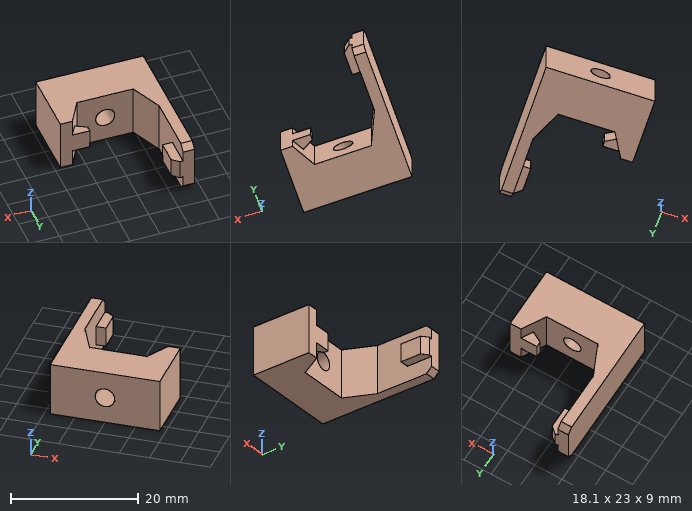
import cadquery as cq

width = 18.1
length = 23.0
height = 9.0

floor_y = 7.0
arm_thickness = 1.95
arm_taper_end_y = 12.3
floor_left_x = 4.35
floor_right_x = 13.8
post_top_y = 11.0
post_top_x = 16.08
arm_tip_chamfer = 1.01

catch_height = 3.31
hook_tip_x = 3.6
hook_length = 4.8
hook_chamfer_x = 1.15
hook_chamfer_y = 0.97
nub_tip_x = 13.1
nub_tip_y = 10.07
nub_foot_x = 14.97
nub_foot_y = 9.02

hole_diameter = 3.2


def make_body():
    """U-shaped profile with both corners of the arm's free end cut off."""
    outline = [
        (0, 0),
        (width, 0),
        (width, post_top_y),
        (post_top_x, post_top_y),
        (floor_right_x, floor_y),
        (floor_left_x, floor_y),
        (arm_thickness, arm_taper_end_y),
        (arm_thickness, length),
        (0, length),
    ]
    body = cq.Workplane("XY").polyline(outline).close().extrude(height)
    return body.faces(">Y").edges("|X").chamfer(arm_tip_chamfer)


def make_catch(outline):
    """Prism of the catch outline, centred on the height of the part."""
    bottom_z = (height - catch_height) / 2
    return cq.Workplane("XY", origin=(0, 0, bottom_z)).polyline(outline).close().extrude(catch_height)


def make_hook():
    """Catch on the inner side of the arm; it starts inside the arm."""
    return make_catch([
        (arm_thickness / 2, length - hook_length),
        (hook_tip_x, length - hook_length),
        (hook_tip_x, length - hook_chamfer_y),
        (hook_tip_x - hook_chamfer_x, length),
        (arm_thickness / 2, length),
    ])


def make_nub():
    """Catch on the sloped face of the post; it ends inside the post."""
    return make_catch([
        (nub_tip_x, post_top_y),
        (nub_tip_x, nub_tip_y),
        (nub_foot_x, nub_foot_y),
        (post_top_x, nub_foot_y),
        (post_top_x, post_top_y),
    ])


def make_screw_hole():
    """Round cutter along Y through the middle of the base."""
    front = cq.Workplane("XZ", origin=(width / 2, 0, height / 2))
    return front.circle(hole_diameter / 2).extrude(-floor_y)


result = make_body().union(make_hook()).union(make_nub()).cut(make_screw_hole())